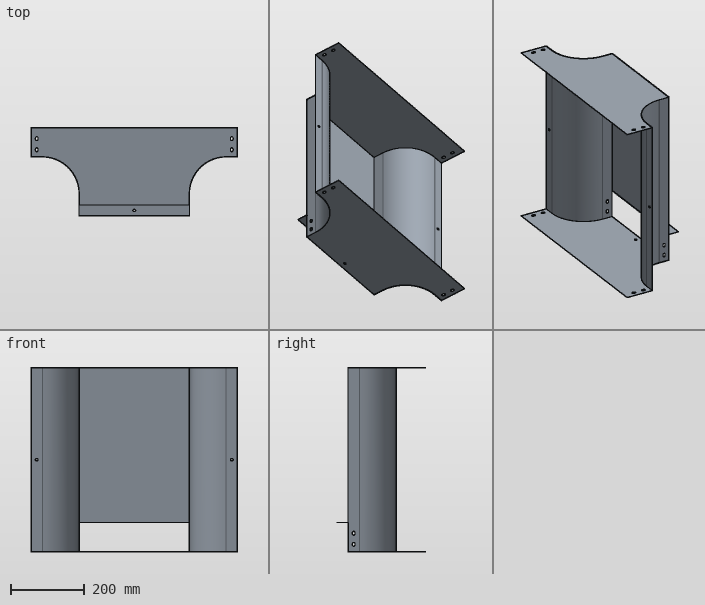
import cadquery as cq

run_length = 560.0
depth = 240.0
height = 500.0
sheet = 1.0
branch_width = 300.0
arm_depth = 80.0
bend_radius = 99.5
branch_opening = 79.0

joint_slot_length = 10.0
joint_slot_width = 7.0
joint_slot_pitch = 30.0
arm_slot_offset = 30.0
branch_slot_offset = 20.0
screw_slot_length = 7.0
screw_slot_width = 5.0

flange = (depth - arm_depth - bend_radius) / 2
half_run = run_length / 2
half_branch = branch_width / 2
arm_front = -arm_depth
branch_front = arm_front - bend_radius - flange
panel_front = branch_front - sheet
lip_front = branch_front - flange
bend_end_x = half_branch + bend_radius
flange_middle = flange / 2
flange_x = half_run - flange_middle
branch_flange_y = branch_front + flange_middle


def t_prism(inset, back, front, thickness):
    """T-shaped prism whose curved sides are inset from the outer faces."""
    half_width = half_branch - inset
    side_y = arm_front + inset
    bend_center_y = arm_front - bend_radius
    diagonal = (bend_radius + inset) * 0.5 ** 0.5
    return (
        cq.Workplane("XY")
        .moveTo(-half_run, back)
        .lineTo(half_run, back)
        .lineTo(half_run, side_y)
        .lineTo(bend_end_x, side_y)
        .threePointArc((bend_end_x - diagonal, bend_center_y + diagonal), (half_width, bend_center_y))
        .lineTo(half_width, front)
        .lineTo(-half_width, front)
        .lineTo(-half_width, bend_center_y)
        .threePointArc((diagonal - bend_end_x, bend_center_y + diagonal), (-bend_end_x, side_y))
        .lineTo(-half_run, side_y)
        .close()
        .extrude(thickness)
    )


def slot_cutter(plane, center, length, width, angle, reach):
    """Slot-shaped cutter, extruded both ways from its center."""
    return (
        cq.Workplane(plane, origin=center)
        .slot2D(length, width, angle)
        .extrude(reach, both=True)
    )


shell = t_prism(0, 0, branch_front, height)
inner_height = height - 2 * sheet
cavity_overrun = 5.5
cavity = t_prism(sheet, cavity_overrun, branch_front - cavity_overrun, inner_height)
cavity = cavity.translate((0, 0, sheet))
result = shell.cut(cavity)

panel = cq.Workplane("XY").box(branch_width, sheet, height - branch_opening, centered=(True, False, False))
lip = cq.Workplane("XY").box(branch_width, flange, sheet, centered=(True, False, False))
result = result.union(panel.translate((0, panel_front, branch_opening)))
result = result.union(lip.translate((0, lip_front, branch_opening)))

for x in (-flange_x, flange_x):
    for row in range(2):
        center = (x, -arm_slot_offset - row * joint_slot_pitch, height / 2)
        result = result.cut(slot_cutter("XY", center, joint_slot_length, joint_slot_width, 90, height))

for row in range(2):
    center = (0, branch_flange_y, branch_slot_offset + row * joint_slot_pitch)
    result = result.cut(slot_cutter("YZ", center, joint_slot_length, joint_slot_width, 90, half_run))

for x in (-flange_x, flange_x):
    center = (x, arm_front, height / 2)
    result = result.cut(slot_cutter("XZ", center, screw_slot_length, screw_slot_width, 0, flange))

for y, z in ((lip_front + flange_middle, branch_opening), (branch_flange_y, 0)):
    result = result.cut(slot_cutter("XY", (0, y, z), screw_slot_length, screw_slot_width, 0, flange))